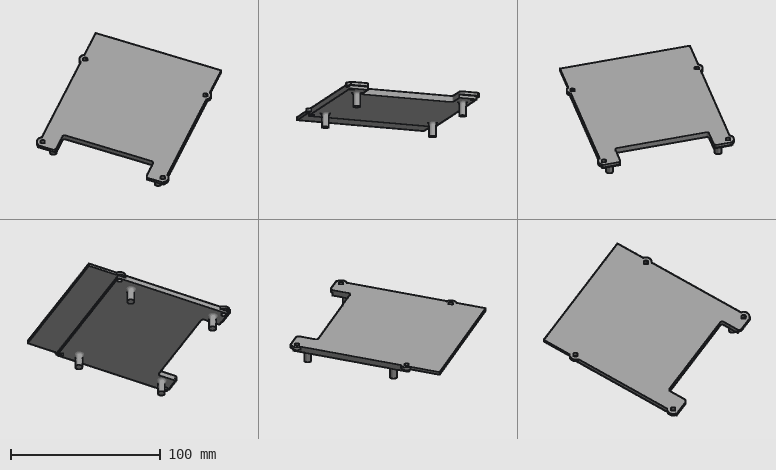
import cadquery as cq

plate_width = 90.1
plate_length = 106.0
sheet_thickness = 2.1

pad_thickness = 2.1
pad_front = 1.7
pad_back = 84.1
pad_corner_radius = 0.8

overall_width = 94.0
ear_radius = 3.9
hole_diameter = 3.1
ear_x = overall_width / 2 - ear_radius
ear_front_y = 4.0
ear_back_y = 81.9

notch_width = 64.9
notch_depth = 14.7
notch_inner_radius = 1.6
notch_outer_radius = 2.1

overall_height = 14.4
pin_diameter = 4.8
pin_root_radius = 2.3
pin_x = 37.6
pin_back_right_x = 38.5
pin_front_y = 9.5
pin_back_y = 70.9

pad_bottom = -(sheet_thickness + pad_thickness)
pin_bottom = -overall_height

ear_points = [(x, y) for x in (-ear_x, ear_x) for y in (ear_front_y, ear_back_y)]
pin_points = [
    (-pin_x, pin_front_y),
    (pin_x, pin_front_y),
    (-pin_x, pin_back_y),
    (pin_back_right_x, pin_back_y),
]


def block(width, y_start, y_end, z_bottom, z_top):
    """Box centred on X = 0 between the given Y and Z limits."""
    return cq.Workplane("XY").box(
        width, y_end - y_start, z_top - z_bottom, centered=(True, False, False)
    ).translate((0, y_start, z_bottom))


def make_sheet():
    """Thin top sheet with its notch, rounded notch mouth and ears."""
    notch = block(notch_width, 0, notch_depth, -sheet_thickness, 0)
    sheet = block(plate_width, 0, plate_length, -sheet_thickness, 0).cut(notch)
    for side in (-1, 1):
        mouth_corner = (side * notch_width / 2, 0, -sheet_thickness / 2)
        sheet = sheet.edges(cq.selectors.NearestToPointSelector(mouth_corner)).fillet(notch_outer_radius)
    ears = cq.Workplane("XY").pushPoints(ear_points).circle(ear_radius).extrude(-sheet_thickness)
    return sheet.union(ears)


def make_pad():
    """Lower layer with rounded outer corners, cut open by the same notch."""
    pad = block(plate_width, pad_front, pad_back, pad_bottom, -sheet_thickness)
    pad = pad.edges("|Z").fillet(pad_corner_radius)
    return pad.cut(block(notch_width, 0, notch_depth, pad_bottom, 0))


def round_notch_inner_corners(body):
    """Fillet the two closed corners of the notch through both layers."""
    for side in (-1, 1):
        corner = (side * notch_width / 2, notch_depth, pad_bottom / 2)
        body = body.edges(cq.selectors.NearestToPointSelector(corner)).fillet(notch_inner_radius)
    return body


def make_pin(x, y):
    """Round pin whose root flares into the pad with a concave fillet."""
    pin_radius = pin_diameter / 2
    root_radius = pin_radius + pin_root_radius
    root_bottom = pad_bottom - pin_root_radius
    arc_offset = pin_root_radius * (1 - 0.5 ** 0.5)
    profile = (
        cq.Workplane("XZ")
        .moveTo(0, pin_bottom)
        .lineTo(pin_radius, pin_bottom)
        .lineTo(pin_radius, root_bottom)
        .threePointArc((pin_radius + arc_offset, pad_bottom - arc_offset), (root_radius, pad_bottom))
        .lineTo(0, pad_bottom)
        .close()
    )
    return profile.revolve(360, (0, 0, 0), (0, 1, 0)).translate((x, y, 0))


result = round_notch_inner_corners(make_sheet().union(make_pad()))
for pin_position in pin_points:
    result = result.union(make_pin(*pin_position))

holes = cq.Workplane("XY").pushPoints(ear_points).circle(hole_diameter / 2).extrude(pad_bottom)
result = result.cut(holes)